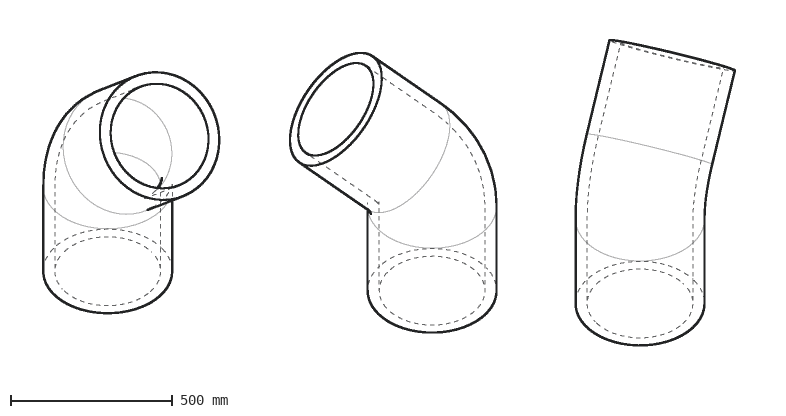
import cadquery as cq
import math

outer_diameter = 400.0
bore_diameter = 327.4
bend_radius = 300.0
bend_angle = 45.0
lower_leg_length = 344.74
upper_leg_length = 299.73


def centreline():
    """Vertical leg, tangent arc bending toward +X, then the inclined leg."""
    angle = math.radians(bend_angle)

    def bend_point(turn):
        x = bend_radius * (1 - math.cos(turn))
        z = lower_leg_length + bend_radius * math.sin(turn)
        return x, z

    bend_end_x, bend_end_z = bend_point(angle)
    leg_end_x = bend_end_x + upper_leg_length * math.sin(angle)
    leg_end_z = bend_end_z + upper_leg_length * math.cos(angle)
    return (
        cq.Workplane("XZ")
        .lineTo(0, lower_leg_length)
        .threePointArc(bend_point(angle / 2), (bend_end_x, bend_end_z))
        .lineTo(leg_end_x, leg_end_z)
    )


def bent_pipe():
    """Ring section swept along the centreline."""
    section = cq.Workplane("XY").circle(outer_diameter / 2).circle(bore_diameter / 2)
    return section.sweep(centreline())


result = bent_pipe()